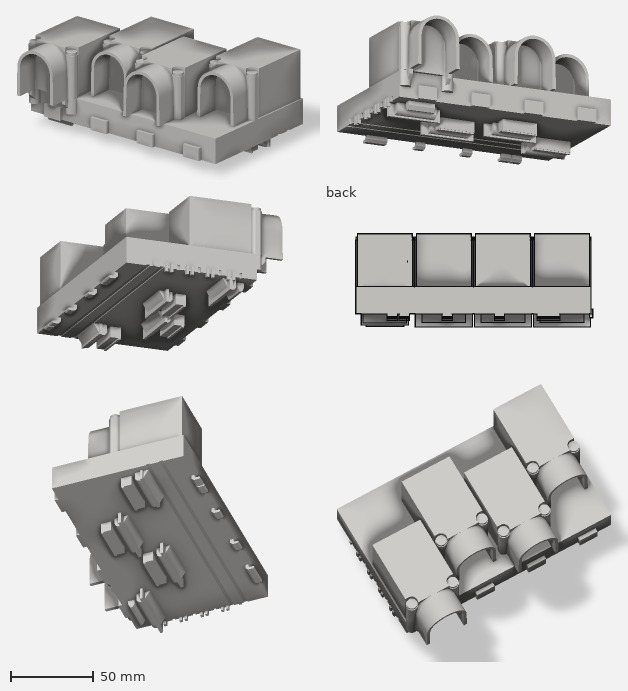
import cadquery as cq
import math

BASE_LENGTH = 143.6
BASE_DEPTH = 86.0
BASE_HEIGHT = 16.6

MODULE_PITCH = 36.0
STAGGER = 13.6
STAGGER_STEPS = [0, 2, 1, 3]
MODULE_TOP = 48.9
HOUSING_WIDTH = 33.5
HOUSING_DEPTH = 46.4
HOUSING_FRONT = -2.5

HOOD_REACH = 16.0
HOOD_RADIUS = 13.7
HOOD_FOOT_HALF = 14.2
MOUTH_RADIUS = 11.7
MOUTH_FOOT_HALF = 11.9
SPRING_Z = MODULE_TOP - HOOD_RADIUS
HOOD_TOE_Y = -7.0
HOOD_TOE_Z = 13.6
HOOD_TIP_Z = 6.8

POST_OFFSET = 14.3
POST_Y = -0.6
POST_RADIUS = 3.8
SOCKET_Y = -0.5
POST_BOTTOM = 6.8
POST_TOP = 45.0
CAP_RADIUS = 3.3
CAP_TOP = 46.9

TAB_WIDTH = 12.3
TAB_HEIGHT = 8.2
TAB_DEPTH = 2.5
TAB_SHIFT = 0.6

PLATE_WIDTH = 35.0
PLATE_THICKNESS = 1.7
PLATE_DROP = 8.1
PLATE_Y = 16.6
LATCH_WIDTH = 26.6
LATCH_DROP = 7.0
LATCH_FRONT = 11.9
LATCH_ROUND = 3.0
LATCH_FLAT = 1.6
LATCH_DEPTH = 8.8
KEY_WIDTH = 23.1
KEY_DEPTH = 4.9
RIB_DROP = 7.8
RIB_INSET = 0.3
FOOT_WIDTH = 17.8
FOOT_DROP = 5.5
FOOT_BEVEL_RUN = 1.3
FOOT_BEVEL_RISE = 2.7
FOOT_Y = 7.0
FOOT_DEPTH = 4.2
CROSS_PLATE_WIDTH = 29.0
CROSS_PLATE_Y = 56.4

PIN_REACH = 1.0
PIN_WIDTH = 1.7
PIN_TOP = 3.0
PIN_DROP = 2.5
PIN_Y = 17.2
PIN_PAIR_SPACING = 3.3
LONE_PIN_Y = 67.8
NOTCH_Y = 10.7

GROOVE_WIDTH = 2.5
GROOVE_HEIGHT = 0.6
GROOVE_PLACES = [62.6, 71.6]

HOOKS = [(19.1, 14.0), (52.8, 6.2), (84.6, 6.2), (110.6, 6.5), (118.0, 6.5)]
HOOK_TIP_Y = 89.5
HOOK_THICKNESS = 2.2
HOOK_TOE_TOP = -2.3
HOOK_DROP = 4.0
HOOK_BEND = 1.6
HOOK_INNER_BEND = 0.7
HOOK_TIP_SLOPE = 0.3

FIRST_CENTER = (BASE_LENGTH - 3 * MODULE_PITCH) / 2
MODULES = [(FIRST_CENTER + i * MODULE_PITCH, steps * STAGGER) for i, steps in enumerate(STAGGER_STEPS)]


def block(x0, x1, y0, y1, z0, z1):
    return cq.Workplane("XY").box(x1 - x0, y1 - y0, z1 - z0, centered=False).translate((x0, y0, z0))


def centered_block(x, width, y0, y1, z0, z1):
    return block(x - width / 2, x + width / 2, y0, y1, z0, z1)


def cylinder(x, y, radius, z0, z1):
    return cq.Workplane("XY", origin=(x, y, z0)).circle(radius).extrude(z1 - z0)


def side_profile(points, x0, width):
    """Extrude a closed (y, z) outline along X."""
    return cq.Workplane("YZ", origin=(x0, 0, 0)).polyline(points).close().extrude(width)


def arch(foot_half, radius, length):
    """Round-topped arch with slightly splayed legs, running toward -Y from the housing front."""
    return (
        cq.Workplane("XZ", origin=(0, HOUSING_FRONT, 0))
        .moveTo(-foot_half, BASE_HEIGHT)
        .lineTo(-radius, SPRING_Z)
        .threePointArc((0, SPRING_Z + radius), (radius, SPRING_Z))
        .lineTo(foot_half, BASE_HEIGHT)
        .close()
        .extrude(length)
    )


def hood_foot(side):
    """Pointed extension of a hood leg below the top of the base."""
    outline = [
        (0, BASE_HEIGHT),
        (HOOD_TOE_Y, BASE_HEIGHT),
        (HOOD_TOE_Y, HOOD_TOE_Z),
        (HOOD_TOE_Y + HOOD_TOE_Z - HOOD_TIP_Z, HOOD_TIP_Z),
    ]
    leg = HOOD_FOOT_HALF - MOUTH_FOOT_HALF
    left_end = MOUTH_FOOT_HALF if side > 0 else -HOOD_FOOT_HALF
    return side_profile(outline, left_end, leg)


def corner_recess(side):
    """Corner pocket around a post, rounded on its inner side."""
    x = side * POST_OFFSET
    outer = x + side * POST_RADIUS
    rear = POST_Y + POST_RADIUS
    front = POST_Y - POST_RADIUS
    pocket = cylinder(x, POST_Y, POST_RADIUS, BASE_HEIGHT, MODULE_TOP)
    return pocket.union(block(min(x, outer), max(x, outer), front, rear, BASE_HEIGHT, MODULE_TOP))


def post(side):
    """Screw post with a smaller cap, trimmed flat at the module's outer side."""
    x = side * POST_OFFSET
    body = cylinder(x, POST_Y, POST_RADIUS, BASE_HEIGHT, POST_TOP)
    body = body.union(cylinder(x, POST_Y, CAP_RADIUS, POST_TOP, CAP_TOP))
    reach = 2 * POST_RADIUS
    return body.intersect(centered_block(0, 2 * FIRST_CENTER, POST_Y - reach, POST_Y + reach, 0, MODULE_TOP))


def post_socket(side):
    """Lower end of a screw post, set into the base block."""
    return cylinder(side * POST_OFFSET, SOCKET_Y, POST_RADIUS, POST_BOTTOM, BASE_HEIGHT)


def module():
    """One connector module centred on X = 0 at the foremost stagger place."""
    rear = HOUSING_FRONT + HOUSING_DEPTH
    body = centered_block(0, HOUSING_WIDTH, HOUSING_FRONT, rear, BASE_HEIGHT, MODULE_TOP)
    hood = arch(HOOD_FOOT_HALF, HOOD_RADIUS, HOOD_REACH)
    hood = hood.cut(arch(MOUTH_FOOT_HALF, MOUTH_RADIUS, HOOD_REACH))
    sides = (-1, 1)
    for side in sides:
        body = body.cut(corner_recess(side))
    body = body.union(hood)
    for side in sides:
        body = body.union(hood_foot(side)).union(post(side)).union(post_socket(side))
    return body


def latch():
    """Wedge-shaped latch under a module: rounded at the front, sloping up toward the rear."""
    width = LATCH_WIDTH
    round_end = LATCH_FRONT + LATCH_ROUND
    bulge = LATCH_ROUND * math.sin(math.radians(45))
    return (
        cq.Workplane("YZ", origin=(-width / 2, 0, 0))
        .moveTo(LATCH_FRONT, 0)
        .lineTo(LATCH_FRONT, LATCH_ROUND - LATCH_DROP)
        .threePointArc((round_end - bulge, LATCH_ROUND - LATCH_DROP - bulge), (round_end, -LATCH_DROP))
        .lineTo(round_end + LATCH_FLAT, -LATCH_DROP)
        .lineTo(LATCH_FRONT + LATCH_DEPTH, 0)
        .close()
        .extrude(width)
    )


def key(x, y):
    """Block with a deeper rib just behind its front face."""
    front = y - PLATE_THICKNESS / 2
    rear = front + PLATE_THICKNESS
    body = centered_block(x, KEY_WIDTH, front, rear + KEY_DEPTH, -LATCH_DROP, 0)
    return body.union(centered_block(x, KEY_WIDTH, front + RIB_INSET, rear, -RIB_DROP, 0))


def bevelled_foot(x):
    """Short foot with steep bevels along its lower edges."""
    front = FOOT_Y - FOOT_DEPTH / 2
    rear = FOOT_Y + FOOT_DEPTH / 2
    bevel_z = FOOT_BEVEL_RISE - FOOT_DROP
    outline = [
        (front, 0),
        (front, bevel_z),
        (front + FOOT_BEVEL_RUN, -FOOT_DROP),
        (rear - FOOT_BEVEL_RUN, -FOOT_DROP),
        (rear, bevel_z),
        (rear, 0),
    ]
    return side_profile(outline, x - FOOT_WIDTH / 2, FOOT_WIDTH)


def hook(x, width):
    """Rear hook that drops below the base and turns outward."""
    rear = BASE_DEPTH
    outline = [
        (rear - HOOK_THICKNESS, 0),
        (rear - HOOK_THICKNESS, HOOK_BEND - HOOK_DROP),
        (rear - HOOK_THICKNESS + HOOK_BEND, -HOOK_DROP),
        (HOOK_TIP_Y - HOOK_INNER_BEND, -HOOK_DROP),
        (HOOK_TIP_Y, HOOK_INNER_BEND - HOOK_DROP),
        (HOOK_TIP_Y, HOOK_TOE_TOP - HOOK_TIP_SLOPE),
        (HOOK_TIP_Y - HOOK_INNER_BEND, HOOK_TOE_TOP),
        (rear + HOOK_INNER_BEND, HOOK_TOE_TOP),
        (rear, HOOK_TOE_TOP + HOOK_INNER_BEND),
        (rear, 0),
    ]
    return side_profile(outline, x, width)


def side_bar(y, x0, x1, z0):
    """Pin-sized block on the left side of the base."""
    return block(x0, x1, y - PIN_WIDTH / 2, y + PIN_WIDTH / 2, z0, PIN_TOP)


result = block(0, BASE_LENGTH, 0, BASE_DEPTH, 0, BASE_HEIGHT)
for groove_y in GROOVE_PLACES:
    half = GROOVE_WIDTH / 2
    result = result.cut(block(0, BASE_LENGTH, groove_y - half, groove_y + half, 0, GROOVE_HEIGHT))
for center, shift in MODULES:
    result = result.cut(side_bar(NOTCH_Y + shift, 0, PIN_REACH, 0))

module_shape = module()
latch_shape = latch()
room = block(0, BASE_LENGTH, -BASE_DEPTH, BASE_DEPTH, 0, MODULE_TOP)
for center, shift in MODULES:
    result = result.union(module_shape.translate((center, shift, 0)).intersect(room))
    result = result.union(latch_shape.translate((center, shift, 0)))
    result = result.union(centered_block(center + TAB_SHIFT, TAB_WIDTH, -TAB_DEPTH, 0, 0, TAB_HEIGHT))
    for side in (-1, 1):
        pin_y = PIN_Y + shift + side * PIN_PAIR_SPACING / 2
        result = result.union(side_bar(pin_y, -PIN_REACH, PIN_REACH, -PIN_DROP))
result = result.union(side_bar(LONE_PIN_Y, -PIN_REACH, 0, 0))

for center, shift in MODULES[:-1]:
    front = PLATE_Y + shift - PLATE_THICKNESS / 2
    result = result.union(
        centered_block(center, PLATE_WIDTH, front, front + PLATE_THICKNESS, -PLATE_DROP, 0)
    )

for center, shift in MODULES[1:]:
    result = result.union(key(center, PLATE_Y + shift - STAGGER))
result = result.union(bevelled_foot(FIRST_CENTER))

last_center = MODULES[-1][0]
cross_plate_rear = CROSS_PLATE_Y + PLATE_THICKNESS
result = result.union(
    centered_block(last_center, CROSS_PLATE_WIDTH, CROSS_PLATE_Y, cross_plate_rear, -LATCH_DROP, 0)
)

for hook_x, hook_width in HOOKS:
    result = result.union(hook(hook_x, hook_width))